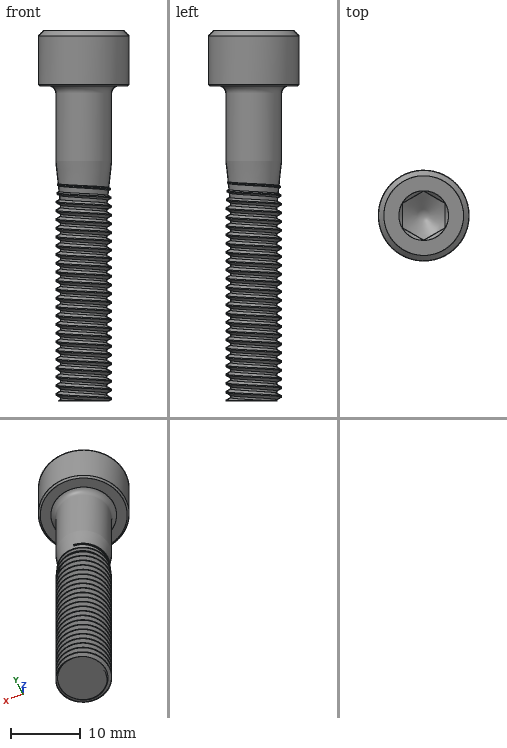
import cadquery as cq
import math


nominal_diameter = 8.0
nominal_radius = nominal_diameter / 2
head_diameter = 13.0
head_radius = head_diameter / 2
head_height = nominal_diameter
top_chamfer = nominal_diameter / 10
bearing_chamfer = 0.28

neck_width = 0.7
neck_length = 1.02
neck_arc_radius = (neck_width**2 + neck_length**2) / (2 * neck_width)

shank_length = 45.0
thread_length = 28.0
pitch = 1.25
flank_angle = math.radians(30)
sharp_height = pitch / 2 / math.tan(flank_angle)
ridge_height = sharp_height * 5 / 8
core_radius = nominal_radius - ridge_height
root_sink = 0.2
tip_z = -shank_length
thread_top_z = tip_z + thread_length
taper_top_z = thread_top_z + 5 * pitch
runout_turns = 3
runout_sink = 0.25
runout_angle = -math.degrees(math.atan(runout_sink / (runout_turns * pitch)))
slice_count = int(thread_length / pitch)
helix_start_angle = 90.0
straight_helix = 360

hex_flats = 6.1
hex_corners = hex_flats / math.cos(math.pi / 6)
hex_depth = 4.0
point_angle = math.radians(30)
point_height = hex_corners / 2 * math.tan(point_angle)
socket_rim_radius = 3.55
rim_chamfer_angle = 45.0


def make_blank():
    """Head, neck, plain shank, taper and thread core as one revolved profile."""
    neck_radius = nominal_radius + neck_width
    profile = (
        cq.Workplane("XZ")
        .moveTo(0, head_height)
        .lineTo(head_radius - top_chamfer, head_height)
        .lineTo(head_radius, head_height - top_chamfer)
        .lineTo(head_radius, bearing_chamfer)
        .lineTo(head_radius - bearing_chamfer, 0)
        .lineTo(neck_radius, 0)
        .radiusArc((nominal_radius, -neck_length), -neck_arc_radius)
        .lineTo(nominal_radius, taper_top_z)
        .lineTo(core_radius, thread_top_z)
        .lineTo(core_radius, tip_z)
        .lineTo(0, tip_z)
        .close()
    )
    return profile.revolve(360, (0, 0, 0), (0, 1, 0))


def sweep_ridge(start_turn, turns=1, cone_angle=straight_helix):
    """Left-handed trapezoidal ridge over some turns, counted up from the tip."""
    root_radius = core_radius - root_sink
    crest_half_width = pitch / 8 / 2
    root_half_width = crest_half_width + (nominal_radius - root_radius) * math.tan(flank_angle)
    helix = cq.Wire.makeHelix(pitch, turns * pitch, nominal_radius, angle=cone_angle, lefthand=True)
    return (
        cq.Workplane("XZ")
        .polyline([
            (root_radius, -root_half_width),
            (nominal_radius, -crest_half_width),
            (nominal_radius, crest_half_width),
            (root_radius, root_half_width),
        ])
        .close()
        .sweep(cq.Workplane(helix), isFrenet=True)
        .rotate((0, 0, 0), (0, 0, 1), helix_start_angle)
        .translate((0, 0, tip_z + start_turn * pitch))
    )


def add_turns(body, turns):
    """Fuse the ridge turns to a body one by one."""
    for turn in turns:
        body = body.union(sweep_ridge(turn), clean=False)
    return body


def keep_between(body, bottom_z, top_z):
    """The part of a body that lies between two heights."""
    width = 2 * head_diameter
    slab = cq.Workplane("XY").box(width, width, top_z - bottom_z, centered=(True, True, False))
    return body.intersect(slab.translate((0, 0, bottom_z)))


def make_thread_slice():
    """The thread over one pitch of height above the tip; equal slices stack up seamlessly."""
    core = (
        cq.Workplane("XY")
        .workplane(offset=tip_z - pitch)
        .circle(core_radius)
        .extrude(3 * pitch)
    )
    return keep_between(add_turns(core, range(-1, 2)), tip_z, tip_z + pitch)


def make_threaded_screw():
    """The blank with its thread runout, on a stack of equal thread slices."""
    stack_top_z = tip_z + slice_count * pitch
    upper = add_turns(make_blank(), [slice_count - 1])
    upper = upper.union(sweep_ridge(slice_count, runout_turns, runout_angle), clean=False)
    upper = keep_between(upper, stack_top_z, head_height)
    thread_slice = make_thread_slice().val()
    slices = [thread_slice.translate(cq.Vector(0, 0, i * pitch)) for i in range(slice_count)]
    return cq.Workplane(upper.val().fuse(*slices, glue=True).clean())


def make_socket():
    """Hexagonal recess with corners on Y, a conical floor and a conical rim chamfer."""
    hexagon = (
        cq.Workplane("XY")
        .workplane(offset=head_height)
        .transformed(rotate=(0, 0, 90))
        .polygon(6, hex_corners)
        .extrude(-(hex_depth + point_height))
    )
    floor_z = head_height - hex_depth
    drill_radius = hex_corners
    drill_rise = (drill_radius - hex_corners / 2) * math.tan(point_angle)
    drill = (
        cq.Workplane("XZ")
        .moveTo(0, floor_z - point_height)
        .lineTo(drill_radius, floor_z + drill_rise)
        .lineTo(drill_radius, head_height)
        .lineTo(0, head_height)
        .close()
        .revolve(360, (0, 0, 0), (0, 1, 0))
    )
    rim_cone_depth = socket_rim_radius * math.tan(math.radians(rim_chamfer_angle))
    rim_cone = (
        cq.Workplane("XZ")
        .moveTo(0, head_height)
        .lineTo(socket_rim_radius, head_height)
        .lineTo(0, head_height - rim_cone_depth)
        .close()
        .revolve(360, (0, 0, 0), (0, 1, 0))
    )
    return hexagon.intersect(drill).union(rim_cone)


result = make_threaded_screw().cut(make_socket())